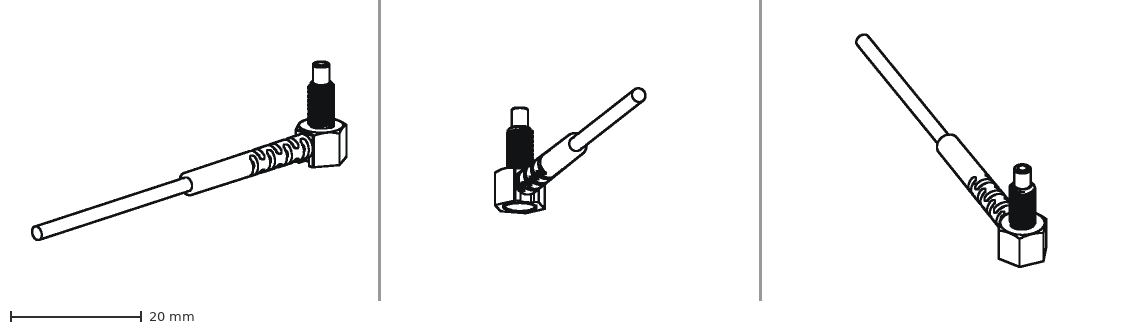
import cadquery as cq
import math


total_length = 64.0
total_height = 15.5

hex_across_corners = 8.0
hex_flat_distance = hex_across_corners / 2 * math.cos(math.radians(30))
hex_height = 5.5
hex_chamfer_radius = 3.4
hex_chamfer_angle = 30.0
hex_chamfer_width = hex_across_corners / 2 - hex_chamfer_radius
hex_chamfer_drop = hex_chamfer_width * math.tan(math.radians(hex_chamfer_angle))
pad_width = 3.7
pad_thickness = 0.2
pad_face_y = -(hex_flat_distance + pad_thickness)
pad_height = hex_height - hex_chamfer_drop

thread_crest_radius = 2.0
thread_root_radius = 1.65
thread_pitch = 0.7
thread_crest_width = 0.225
thread_root_width = 0.48
thread_overlap = 0.1
thread_start_z = hex_height
thread_turns = 9.5
shank_top_z = 12.5
shank_tip_radius = 1.4

ferrule_radius = 1.3
ferrule_chamfer = 0.2
ferrule_bore_radius = 0.7
ferrule_bore_depth = 1.3

cable_radius = 1.1
cable_axis_z = 3.0
cable_end_y = hex_flat_distance - total_length

plug_radius = 2.55
plug_height = 4.15
plug_chamfer = 0.2

boot_base_radius = 1.9
boot_end_radius = 1.8
boot_length = 24.9
boot_end_fillet = 0.2
notch_width = 1.0
notch_floor_distance = 0.8
notch_pitch = 3.6
first_notch_y = -5.0
side_notch_count = 4
top_notch_count = 3


def cylinder_along_y(radius, start_y, end_y):
    """Cylinder on the cable axis, running from start_y toward -Y."""
    plane = cq.Workplane("XZ", origin=(0, start_y, cable_axis_z))
    return plane.circle(radius).extrude(start_y - end_y)


def make_hex_head():
    """Hexagonal prism with a conical top chamfer and a raised pad on its -Y flat."""
    prism = cq.Workplane("XY").polygon(6, hex_across_corners).extrude(hex_height)
    corner_radius = hex_across_corners / 2
    chamfer_cone = (
        cq.Workplane("XZ")
        .polyline([
            (0, 0),
            (corner_radius, 0),
            (corner_radius, hex_height - hex_chamfer_drop),
            (hex_chamfer_radius, hex_height),
            (0, hex_height),
        ])
        .close()
        .revolve(360, (0, 0, 0), (0, 1, 0))
    )
    pad = cq.Workplane("XY").box(pad_width, -pad_face_y, pad_height, centered=(True, False, False))
    return prism.intersect(chamfer_cone).union(pad.translate((0, pad_face_y, 0)))


def make_thread_ridge():
    """Right-handed helical ridge whose inner edge is sunk into the shank core."""
    inner_radius = thread_root_radius - thread_overlap
    flank_slope = (thread_root_width - thread_crest_width) / (thread_crest_radius - thread_root_radius)
    inner_half = (thread_root_width + flank_slope * thread_overlap) / 2
    crest_half = thread_crest_width / 2
    helix = cq.Wire.makeHelix(thread_pitch, thread_pitch * thread_turns, inner_radius)
    profile = cq.Workplane("XZ").polyline([
        (inner_radius, -inner_half),
        (thread_crest_radius, -crest_half),
        (thread_crest_radius, crest_half),
        (inner_radius, inner_half),
    ])
    ridge = profile.close().sweep(cq.Workplane(obj=helix), isFrenet=True)
    return ridge.translate((0, 0, thread_start_z))


def make_shank():
    """Threaded shank with a 45-degree lead-in at its upper end."""
    core = cq.Workplane("XY").workplane(offset=hex_height).circle(thread_root_radius)
    core = core.extrude(shank_top_z - hex_height)
    lead_in_height = thread_crest_radius - shank_tip_radius
    envelope_radius = thread_crest_radius + lead_in_height
    envelope = cq.Workplane("XY").workplane(offset=hex_height).circle(envelope_radius)
    envelope = envelope.extrude(shank_top_z - hex_height)
    envelope = envelope.faces(">Z").chamfer(envelope_radius - shank_tip_radius)
    return core.union(make_thread_ridge()).intersect(envelope)


def make_ferrule():
    """Plain tube end standing on the shank."""
    ferrule = cq.Workplane("XY").workplane(offset=shank_top_z).circle(ferrule_radius)
    ferrule = ferrule.extrude(total_height - shank_top_z).faces(">Z").chamfer(ferrule_chamfer)
    return ferrule.faces(">Z").workplane().hole(2 * ferrule_bore_radius, ferrule_bore_depth)


def make_cable_slot():
    """U-shaped opening from the underside up to the cable, through the pad and the wall."""
    depth = -pad_face_y
    lower = cq.Workplane("XY").box(2 * cable_radius, depth, cable_axis_z, centered=(True, False, False))
    return lower.translate((0, pad_face_y, 0)).union(cylinder_along_y(cable_radius, 0, pad_face_y))


def make_fitting():
    """Head, threaded shank and ferrule, with a blind recess for the plug."""
    plug_recess = cq.Workplane("XY").circle(plug_radius).extrude(plug_height)
    head = make_hex_head().cut(plug_recess).cut(make_cable_slot())
    return head.union(make_shank()).union(make_ferrule())


def make_plug():
    """Round plug that fills the recess, with a chamfered lower rim."""
    plug = cq.Workplane("XY").circle(plug_radius).extrude(plug_height)
    return plug.faces("<Z").chamfer(plug_chamfer)


def make_notch(center_y, turn):
    """Round-bottomed notch across the boot, on the side given by turn about the cable axis."""
    tip_radius = notch_width / 2
    outer_x = 2 * boot_base_radius
    notch = (
        cq.Workplane("XY")
        .moveTo(outer_x, -tip_radius)
        .lineTo(notch_floor_distance + tip_radius, -tip_radius)
        .threePointArc((notch_floor_distance, 0), (notch_floor_distance + tip_radius, tip_radius))
        .lineTo(outer_x, tip_radius)
        .close()
        .extrude(boot_base_radius, both=True)
    )
    return notch.rotate((0, 0, 0), (0, 1, 0), turn).translate((0, center_y, cable_axis_z))


def make_boot():
    """Tapered sleeve with alternating pairs of side notches and top-and-bottom notches."""
    base = cq.Workplane("XZ", origin=(0, pad_face_y, cable_axis_z)).circle(boot_base_radius)
    boot = base.workplane(offset=boot_length).circle(boot_end_radius).loft()
    boot = boot.faces("<Y").edges().fillet(boot_end_fillet)
    boot = boot.cut(cylinder_along_y(cable_radius, pad_face_y, pad_face_y - boot_length))
    for index in range(side_notch_count):
        center_y = first_notch_y - index * notch_pitch
        for turn in (0, 180):
            boot = boot.cut(make_notch(center_y, turn))
    for index in range(top_notch_count):
        center_y = first_notch_y - (index + 0.5) * notch_pitch
        for turn in (90, 270):
            boot = boot.cut(make_notch(center_y, turn))
    return boot


def make_cable():
    """Cable running from the plug out through the slot and the boot."""
    return cylinder_along_y(cable_radius, -plug_radius, cable_end_y)


fitting = make_fitting()
plug = make_plug()
boot = make_boot()
cable = make_cable()

result = cq.Compound.makeCompound([fitting.val(), plug.val(), boot.val(), cable.val()])